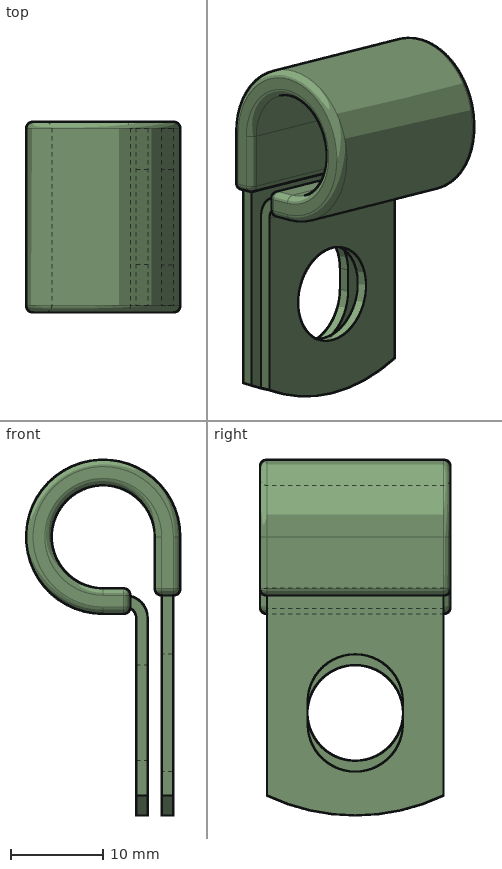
import cadquery as cq
import math


loop_outer_radius = 8.355
strap_thickness = 1.27
cushion_wall = 0.762
cushion_width = 20.64
cushion_right_length = 6.35
cushion_bottom_length = 2.94
leg_gap = 1.5
bend_inner_radius = 1.2
hole_diameter = 10.32
slot_length = 12.7
hole_drop = 19.05
leg_tip_drop = 30.155
leg_tip_radius = 22.225

cushion_thickness = strap_thickness + 2 * cushion_wall
loop_inner_radius = loop_outer_radius - cushion_thickness
strap_outer_radius = loop_outer_radius - cushion_wall
strap_inner_radius = strap_outer_radius - strap_thickness
strap_width = cushion_width - 2 * cushion_wall
right_leg_x = strap_inner_radius
left_leg_x = right_leg_x - leg_gap - strap_thickness
bend_outer_radius = bend_inner_radius + strap_thickness
bend_center_x = left_leg_x - bend_inner_radius
bend_center_z = -(strap_outer_radius + bend_inner_radius)
leg_corner_sag = leg_tip_radius - math.sqrt(leg_tip_radius**2 - (strap_width / 2) ** 2)
leg_corner_z = leg_corner_sag - leg_tip_drop

DIAGONAL = math.sqrt(0.5)


def arc_point(center_x, center_z, radius, x_sign, z_sign):
    """Point halfway along a quarter arc, in the quadrant given by the signs."""
    return (center_x + x_sign * radius * DIAGONAL, center_z + z_sign * radius * DIAGONAL)


def make_cushion():
    """Three-quarter loop with two straight ends, rounded along every edge."""
    outer, inner = loop_outer_radius, loop_inner_radius
    profile = (
        cq.Workplane("XZ")
        .moveTo(outer, -cushion_right_length)
        .lineTo(outer, 0)
        .threePointArc(arc_point(0, 0, outer, -1, 1), (0, -outer))
        .lineTo(cushion_bottom_length, -outer)
        .lineTo(cushion_bottom_length, -inner)
        .lineTo(0, -inner)
        .threePointArc(arc_point(0, 0, inner, -1, 1), (inner, 0))
        .lineTo(inner, -cushion_right_length)
        .close()
    )
    return profile.extrude(cushion_width / 2, both=True).edges().fillet(cushion_wall)


def make_right_leg():
    """Straight leg that continues down from the right end of the loop."""
    return cq.Workplane("XY").box(
        strap_thickness, strap_width, leg_tip_drop, centered=(False, True, False)
    ).translate((right_leg_x, 0, -leg_tip_drop))


def make_left_leg():
    """Leg that leaves the lower end of the loop and bends down beside the right leg."""
    left_leg_outer_x = left_leg_x + strap_thickness
    profile = (
        cq.Workplane("XZ")
        .moveTo(0, -strap_inner_radius)
        .lineTo(bend_center_x, -strap_inner_radius)
        .threePointArc(
            arc_point(bend_center_x, bend_center_z, bend_outer_radius, 1, 1),
            (left_leg_outer_x, bend_center_z),
        )
        .lineTo(left_leg_outer_x, -leg_tip_drop)
        .lineTo(left_leg_x, -leg_tip_drop)
        .lineTo(left_leg_x, bend_center_z)
        .threePointArc(
            arc_point(bend_center_x, bend_center_z, bend_inner_radius, 1, 1),
            (bend_center_x, -strap_outer_radius),
        )
        .lineTo(0, -strap_outer_radius)
        .close()
    )
    return profile.extrude(strap_width / 2, both=True)


def make_leg_outline():
    """Block along X with a curved lower end, used to trim both legs."""
    half_width = strap_width / 2
    return (
        cq.Workplane("YZ")
        .moveTo(-half_width, 0)
        .lineTo(-half_width, leg_corner_z)
        .threePointArc((0, -leg_tip_drop), (half_width, leg_corner_z))
        .lineTo(half_width, 0)
        .close()
        .extrude(loop_outer_radius)
    )


def make_bolt_hole():
    """Round hole tool through the left leg."""
    return (
        cq.Workplane("YZ", origin=(left_leg_x, 0, -hole_drop))
        .circle(hole_diameter / 2)
        .extrude(strap_thickness)
    )


def make_bolt_slot():
    """Vertical slot tool through the right leg."""
    return (
        cq.Workplane("YZ", origin=(right_leg_x, 0, -hole_drop))
        .slot2D(slot_length, hole_diameter, angle=90)
        .extrude(strap_thickness)
    )


left_leg = make_left_leg().cut(make_bolt_hole())
right_leg = make_right_leg().cut(make_bolt_slot())
legs = left_leg.union(right_leg).intersect(make_leg_outline())
result = make_cushion().union(legs)